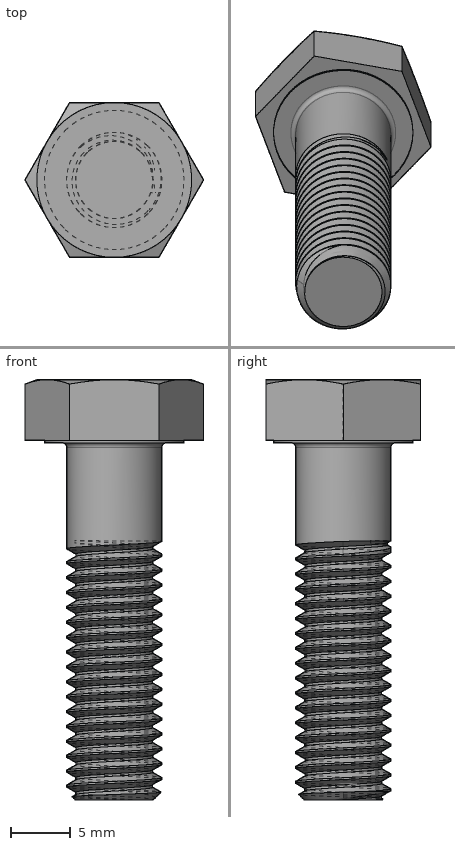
import math

import cadquery as cq


across_flats = 13.0
head_height = 5.3
head_chamfer_angle = 20.0
washer_diameter = 11.7
washer_height = 0.2
corner_radius = across_flats / math.sqrt(3)

nominal_diameter = 8.0
shank_length = 30.0
underhead_fillet = 0.4
shank_radius = nominal_diameter / 2
point_chamfer = 0.75

pitch = 1.25
flank_angle = 30.0
fundamental_height = pitch * math.cos(math.radians(flank_angle))
thread_depth = fundamental_height * 17 / 24
crest_flat = pitch / 8
groove_mouth = pitch - crest_flat
root_radius = shank_radius - thread_depth

full_groove_end = -8.81
runout_angle = 145.0
full_turns = math.ceil((shank_length + full_groove_end) / pitch) + 1
full_groove_start = full_groove_end - full_turns * pitch

cutter_overshoot = 0.1


def make_head():
    """Hexagonal prism with conically chamfered top corners and a washer face below."""
    hexagon = (
        cq.Workplane("XY", origin=(0, 0, washer_height))
        .polygon(6, 2 * corner_radius)
        .extrude(head_height - washer_height)
    )
    cone_drop = (corner_radius - across_flats / 2) * math.tan(math.radians(head_chamfer_angle))
    chamfer_envelope = (
        cq.Workplane("XZ")
        .moveTo(0, 0)
        .lineTo(corner_radius, 0)
        .lineTo(corner_radius, head_height - cone_drop)
        .lineTo(across_flats / 2, head_height)
        .lineTo(0, head_height)
        .close()
        .revolve(360, (0, 0, 0), (0, 1, 0))
    )
    washer_face = cq.Workplane("XY").circle(washer_diameter / 2).extrude(washer_height)
    return hexagon.intersect(chamfer_envelope).union(washer_face)


def make_shank():
    """Plain shank with a concave fillet under the head and a chamfered point."""
    fillet_middle = underhead_fillet * (1 - math.sqrt(0.5))
    return (
        cq.Workplane("XZ")
        .moveTo(0, washer_height)
        .lineTo(shank_radius + underhead_fillet, washer_height)
        .lineTo(shank_radius + underhead_fillet, 0)
        .threePointArc(
            (shank_radius + fillet_middle, -fillet_middle),
            (shank_radius, -underhead_fillet),
        )
        .lineTo(shank_radius, point_chamfer - shank_length)
        .lineTo(shank_radius - point_chamfer, -shank_length)
        .lineTo(0, -shank_length)
        .close()
        .revolve(360, (0, 0, 0), (0, 1, 0))
    )


def groove_profile(z):
    """Trapezoidal groove section in the XZ plane on the +X side, centred at height z."""
    flank_slope = math.tan(math.radians(flank_angle))
    root_half = groove_mouth / 2 - thread_depth * flank_slope
    mouth_half = groove_mouth / 2 + cutter_overshoot * flank_slope
    mouth_radius = shank_radius + cutter_overshoot
    return (
        cq.Workplane("XZ")
        .moveTo(root_radius, z - root_half)
        .lineTo(mouth_radius, z - mouth_half)
        .lineTo(mouth_radius, z + mouth_half)
        .lineTo(root_radius, z + root_half)
        .close()
    )


def make_full_groove():
    """Constant-depth helical groove running out through the point."""
    helix = cq.Wire.makeHelix(
        pitch, full_turns * pitch, root_radius, cq.Vector(0, 0, full_groove_start)
    )
    return groove_profile(full_groove_start).sweep(cq.Workplane(obj=helix), isFrenet=True)


def make_runout_groove():
    """Groove on a widening conical helix, which fades out at the shank surface."""
    runout_height = pitch * runout_angle / 360
    runout_slant = math.hypot(thread_depth, runout_height)
    slant_pitch = pitch * runout_slant / runout_height
    cone_angle = math.degrees(math.atan2(thread_depth, runout_height))
    helix = cq.Wire.makeHelix(
        slant_pitch, runout_slant, root_radius, cq.Vector(0, 0, full_groove_end), angle=cone_angle
    )
    return groove_profile(full_groove_end).sweep(cq.Workplane(obj=helix), isFrenet=True)


shank = make_shank().cut(make_full_groove()).cut(make_runout_groove())
result = make_head().union(shank)